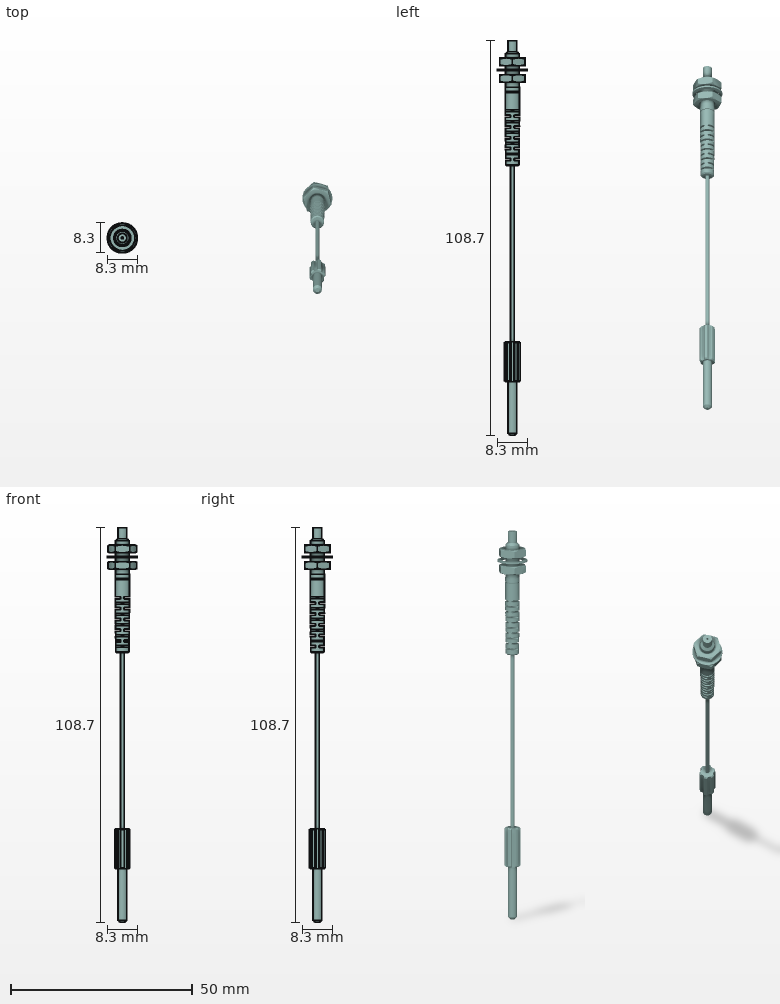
import cadquery as cq
import math


OVERALL_LENGTH = 108.7
TIP_LENGTH = 3.7
THREAD_LENGTH = 9.1
COLLAR_LENGTH = 1.2
HOUSING_LENGTH = 20.4
CABLE_LENGTH = 48.5
GRIP_LENGTH = 11.0

TIP_DIAMETER = 2.5
FIBRE_HOLE_DIAMETER = 0.5
THREAD_DIAMETER = 3.8
HOUSING_DIAMETER = 4.0
RELIEF_END_DIAMETER = 3.7
CABLE_DIAMETER = 1.1
GRIP_DIAMETER = 4.3
ROD_DIAMETER = 2.5

RELIEF_CHAMFER = 0.3
GRIP_CHAMFER = 0.3
ROD_CHAMFER = 0.7

GROOVE_HEIGHT = 0.3
GROOVE_DEPTH = 0.2

SLOT_COUNT = 10
SLOT_SPAN = 13.4
SLOT_HEIGHT = 0.5
SLOT_WEB = 0.9
FIRST_SLOT_OFFSET = 6.5

FLUTE_COUNT = 6
FLUTE_MOUTH_WIDTH = 1.5
FLUTE_FLOOR_WIDTH = 0.7
FLUTE_DEPTH = 0.4

NUT_COUNT = 2
NUT_ACROSS_FLATS = 7.0
NUT_HEIGHT = 2.2
NUT_FACE_DIAMETER = 7.0
NUT_CHAMFER_ANGLE = 30.0
NUT_COUNTERSINK = 0.4
NUT_PITCH = 4.6
UPPER_NUT_DEPTH = 4.8
WASHER_DIAMETER = 8.3
WASHER_HOLE_DIAMETER = 6.1
WASHER_THICKNESS = 0.4

thread_top = OVERALL_LENGTH - TIP_LENGTH
housing_top = thread_top - THREAD_LENGTH
housing_base = housing_top - COLLAR_LENGTH - HOUSING_LENGTH
groove_top = housing_top - COLLAR_LENGTH
first_slot_z = housing_top - FIRST_SLOT_OFFSET
slot_pitch = SLOT_SPAN / (SLOT_COUNT - 1)
grip_top = housing_base - CABLE_LENGTH
grip_base = grip_top - GRIP_LENGTH
upper_nut_top = OVERALL_LENGTH - UPPER_NUT_DEPTH
washer_middle = upper_nut_top - (NUT_PITCH + NUT_HEIGHT) / 2


def cylinder(diameter, base, top):
    return cq.Workplane("XY").workplane(offset=base).circle(diameter / 2).extrude(top - base)


def turned(outline):
    """Close a half outline in X and Z and turn it about the Z axis."""
    return outline.close().revolve(360, (0, 0, 0), (0, 1, 0))


def threaded_tip():
    """Plain tip joined to the thread by a 45 degree cone, with the fibre hole in its end."""
    tip_radius = TIP_DIAMETER / 2
    thread_radius = THREAD_DIAMETER / 2
    outline = cq.Workplane("XZ").polyline([
        (0, housing_top),
        (thread_radius, housing_top),
        (thread_radius, thread_top),
        (tip_radius, thread_top + thread_radius - tip_radius),
        (tip_radius, OVERALL_LENGTH),
        (0, OVERALL_LENGTH),
    ])
    fibre_hole = cylinder(FIBRE_HOLE_DIAMETER, thread_top, OVERALL_LENGTH)
    return turned(outline).cut(fibre_hole)


def slot_pair(z, angle):
    """Two round-ended slots from opposite sides, leaving a web across the axis."""
    centre_x = (SLOT_WEB + HOUSING_DIAMETER) / 2
    slots = (
        cq.Workplane("XZ")
        .pushPoints([(-centre_x, z), (centre_x, z)])
        .slot2D(HOUSING_DIAMETER, SLOT_HEIGHT)
        .extrude(HOUSING_DIAMETER, both=True)
    )
    return slots.rotate((0, 0, 0), (0, 0, 1), angle)


def housing_and_relief():
    """Housing with a ring groove, tapering into the slotted strain relief."""
    radius = HOUSING_DIAMETER / 2
    end_radius = RELIEF_END_DIAMETER / 2
    groove_base = groove_top - GROOVE_HEIGHT
    outline = cq.Workplane("XZ").polyline([
        (0, housing_base),
        (end_radius - RELIEF_CHAMFER, housing_base),
        (end_radius, housing_base + RELIEF_CHAMFER),
        (radius, first_slot_z),
        (radius, groove_base),
        (radius - GROOVE_DEPTH, groove_base),
        (radius - GROOVE_DEPTH, groove_top),
        (radius, groove_top),
        (radius, housing_top),
        (0, housing_top),
    ])
    housing = turned(outline)
    for i in range(SLOT_COUNT):
        housing = housing.cut(slot_pair(first_slot_z - i * slot_pitch, 90 * (i % 2)))
    return housing


def flute():
    """Trapezoidal groove along the +X side of the grip, running past its surface."""
    floor_x = GRIP_DIAMETER / 2 - FLUTE_DEPTH
    outer_x = GRIP_DIAMETER / 2 + FLUTE_DEPTH
    flare = (FLUTE_MOUTH_WIDTH - FLUTE_FLOOR_WIDTH) / 2
    half_floor = FLUTE_FLOOR_WIDTH / 2
    half_outer = half_floor + 2 * flare
    return (
        cq.Workplane("XY")
        .workplane(offset=grip_base)
        .polyline([
            (floor_x, -half_floor),
            (outer_x, -half_outer),
            (outer_x, half_outer),
            (floor_x, half_floor),
        ])
        .close()
        .extrude(GRIP_LENGTH)
    )


def grip():
    handle = cylinder(GRIP_DIAMETER, grip_base, grip_top).faces("<Z or >Z").chamfer(GRIP_CHAMFER)
    for i in range(FLUTE_COUNT):
        handle = handle.cut(flute().rotate((0, 0, 0), (0, 0, 1), i * 360 / FLUTE_COUNT))
    return handle


def probe():
    cable = cylinder(CABLE_DIAMETER, grip_top, housing_top)
    end_rod = cylinder(ROD_DIAMETER, 0, grip_base).faces("<Z").chamfer(ROD_CHAMFER)
    return threaded_tip().union(housing_and_relief()).union(cable).union(grip()).union(end_rod)


def nut(top):
    """Hexagon nut with corners on the X axis, chamfered and countersunk on both faces."""
    base = top - NUT_HEIGHT
    corner_radius = NUT_ACROSS_FLATS / math.sqrt(3)
    face_radius = NUT_FACE_DIAMETER / 2
    corner_drop = (corner_radius - face_radius) * math.tan(math.radians(NUT_CHAMFER_ANGLE))
    hexagon = cq.Workplane("XY").workplane(offset=base).polygon(6, 2 * corner_radius).extrude(NUT_HEIGHT)
    chamfered_blank = turned(
        cq.Workplane("XZ").polyline([
            (0, base),
            (face_radius, base),
            (corner_radius, base + corner_drop),
            (corner_radius, top - corner_drop),
            (face_radius, top),
            (0, top),
        ])
    )
    bore_radius = THREAD_DIAMETER / 2
    bore = turned(
        cq.Workplane("XZ").polyline([
            (0, base),
            (bore_radius + NUT_COUNTERSINK, base),
            (bore_radius, base + NUT_COUNTERSINK),
            (bore_radius, top - NUT_COUNTERSINK),
            (bore_radius + NUT_COUNTERSINK, top),
            (0, top),
        ])
    )
    return hexagon.intersect(chamfered_blank).cut(bore)


def washer():
    """Flat ring around the thread, midway between the nuts."""
    return (
        cq.Workplane("XY")
        .workplane(offset=washer_middle - WASHER_THICKNESS / 2)
        .circle(WASHER_DIAMETER / 2)
        .circle(WASHER_HOLE_DIAMETER / 2)
        .extrude(WASHER_THICKNESS)
    )


nuts = [nut(upper_nut_top - i * NUT_PITCH).val() for i in range(NUT_COUNT)]
result = cq.Compound.makeCompound([probe().val(), washer().val(), *nuts])